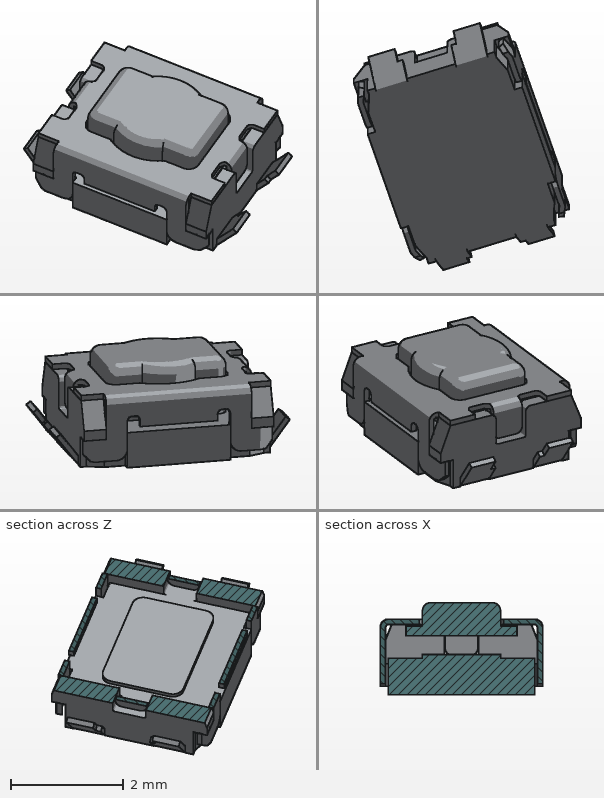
import cadquery as cq
import math

overall_length = 4.31
body_length = 3.5
body_width = 2.9
overall_height = 1.7
cover_top = 1.355
half_length = body_length / 2
half_width = body_width / 2

sheet = 0.1
cover_underside = cover_top - sheet
outer_bend = 0.15
inner_bend = outer_bend - sheet

corner_length = 0.41
corner_inset = 0.203
wall_half_length = half_length - corner_length

wall_bottom = 0.15
flap_bottom = 0.75
flap_half_length = 0.71
slot_half_length = 0.953
relief_top = 0.955
relief_radius = 0.1
leg_corner_radius = 0.2

ear_top = 0.56
ear_bend_start = 1.49
ear_angle = 22.4
ear_chamfer = 0.135

latch_half_width = 0.295
latch_face = 1.645
latch_bottom = 0.705
latch_corner_radius = 0.125
latch_opening_half_width = 0.74
latch_opening_edge = 1.45
opening_corner_radius = 0.1

button_half_length = 1.1
button_half_width = 0.75
button_bulge_radius = 0.895
button_radius = 0.2
button_rim_radius = 0.999 * button_radius
window_half_length = 1.13
window_half_width = 0.775
window_bulge_radius = 0.95

shelf_height = 0.655
pad_height = 0.07
cover_recess = 0.142
chamfer_bottom = 0.745
pocket_depth = 0.26
pocket_flat = 0.11
roof_bottom = 1.05
roof_half_length = 1.49
roof_half_width = 0.99
roof_drop = 0.02
notch_half_width = 0.305
notch_top_radius = 0.105
notch_bottom_radius = 0.04

lead_angle = 53.0
lead_length = 0.63
lead_step_length = 0.358
lead_inner_y = 0.455
lead_step_y = 0.55
lead_outer_y = 1.047
lead_tilt = math.radians(lead_angle)
lead_bend_x = overall_length / 2 - lead_length * math.cos(lead_tilt) - sheet * math.sin(lead_tilt)


def block(x0, x1, y0, y1, z0, z1):
    """Box between the given limits."""
    return cq.Workplane("XY").box(x1 - x0, y1 - y0, z1 - z0, centered=False).translate((x0, y0, z0))


def centred_block(half_x, half_y, z0, z1):
    return block(-half_x, half_x, -half_y, half_y, z0, z1)


def on_both_ends(shape):
    """The +X shape together with its mirror image at -X."""
    return shape.union(shape.mirror("YZ"))


def on_both_sides(shape):
    """The -Y shape together with its mirror image at +Y."""
    return shape.union(shape.mirror("XZ"))


def bulged_prism(half_x, half_y, bulge_radius, corner_radius, z0, z1):
    """Rounded rectangle with a concentric round bulge on its two long sides."""
    bar = centred_block(half_x, half_y, z0, z1).edges("|Z").fillet(corner_radius)
    disc = cq.Workplane("XY", origin=(0, 0, z0)).circle(bulge_radius).extrude(z1 - z0)
    return bar.union(disc)



def base_block():
    """Solid block with its upper long edges sloped at full length."""
    return (
        cq.Workplane("YZ")
        .moveTo(-half_width, 0)
        .lineTo(half_width, 0)
        .lineTo(half_width, chamfer_bottom)
        .lineTo(half_width - corner_inset, cover_underside)
        .lineTo(corner_inset - half_width, cover_underside)
        .lineTo(-half_width, chamfer_bottom)
        .close()
        .extrude(half_length, both=True)
    )


def side_recess():
    """Room for the legs of the -Y cover wall at the ends of the front shelf."""
    recess_y = cover_recess - half_width
    recess = block(-wall_half_length, wall_half_length, -half_width, recess_y, 0, shelf_height)
    shelf = centred_block(slot_half_length, half_width, 0, shelf_height)
    return recess.cut(shelf)


def corner_pocket():
    """Undercut at the +X, -Y corner that clears the bent ear of the cover."""
    return (
        cq.Workplane("XY")
        .moveTo(wall_half_length, -half_width)
        .lineTo(half_length, -half_width)
        .lineTo(half_length, pocket_depth - half_width)
        .lineTo(half_length - pocket_flat, pocket_depth - half_width)
        .lineTo(wall_half_length, cover_recess - half_width)
        .close()
        .extrude(ear_top)
    )


def well():
    """Space between the end walls, open to both sides, with a pad on its floor and a bridging roof."""
    space = centred_block(wall_half_length, half_width, shelf_height, cover_underside)
    pad = centred_block(button_half_length, button_half_width, shelf_height, shelf_height + pad_height)
    roof = centred_block(wall_half_length, roof_half_width, roof_bottom, cover_underside)
    return space.cut(pad.edges("|Z").fillet(button_radius)).cut(roof)


def roof_step():
    """Shallow step down from the top of the end walls to the roof under the cover."""
    return centred_block(roof_half_length, roof_half_width, cover_underside - roof_drop, cover_underside)


def latch_notch():
    """Notch through the +X end wall, with rounded floor corners and flared top edges."""
    depth = half_length - wall_half_length
    flare_half_width = notch_half_width + notch_top_radius
    flare_bottom = cover_underside - notch_top_radius
    slot = block(
        wall_half_length, half_length, -notch_half_width, notch_half_width, shelf_height, cover_underside
    ).edges("|X and <Z").fillet(notch_bottom_radius)
    flare = block(
        wall_half_length, half_length, -flare_half_width, flare_half_width, flare_bottom, cover_underside
    )
    for side in (-1, 1):
        rounding = (
            cq.Workplane("YZ", origin=(wall_half_length, side * flare_half_width, flare_bottom))
            .circle(notch_top_radius)
            .extrude(depth)
        )
        flare = flare.cut(rounding)
    return slot.union(flare)


def lead_strip(length, y0, y1):
    """Strip that bends up sharply out of the bottom of the +X end, around its own inner corner."""
    along_x = math.cos(lead_tilt)
    along_z = math.sin(lead_tilt)
    bend_middle = (
        lead_bend_x + sheet * math.sin(lead_tilt / 2),
        sheet - sheet * math.cos(lead_tilt / 2),
    )
    bend_end = (lead_bend_x + sheet * along_z, sheet - sheet * along_x)
    inner_tip = (lead_bend_x + length * along_x, sheet + length * along_z)
    outer_tip = (bend_end[0] + length * along_x, bend_end[1] + length * along_z)
    return (
        cq.Workplane("XZ", origin=(0, y1, 0))
        .moveTo(lead_bend_x, 0)
        .threePointArc(bend_middle, bend_end)
        .lineTo(*outer_tip)
        .lineTo(*inner_tip)
        .lineTo(lead_bend_x, sheet)
        .close()
        .extrude(y1 - y0)
    )


def lead():
    """Lead at the +X, -Y corner: full length outside, a shorter step towards the middle."""
    long_part = lead_strip(lead_length, -lead_outer_y, -lead_step_y)
    short_part = lead_strip(lead_step_length, -lead_step_y, -lead_inner_y)
    return long_part.union(short_part)


def lead_clearance():
    """Bottom edge of the base removed where the bend of a lead leaves it."""
    return block(lead_bend_x, half_length, -lead_outer_y, -lead_inner_y, 0, sheet)


def button():
    """Button rising from the roof through the cover window, with its whole top rim rounded."""
    height = overall_height - roof_bottom
    bar = centred_block(button_half_length, button_half_width, roof_bottom, overall_height)
    bar = bar.edges("|Z").fillet(button_radius).faces(">Z").edges().fillet(button_rim_radius)
    bulge = cq.Workplane("XY", origin=(0, 0, roof_bottom)).circle(button_bulge_radius).extrude(height)
    bulge = bulge.faces(">Z").edges().fillet(button_rim_radius)
    return bar.union(bulge)


def build_base():
    base = base_block()
    base = base.cut(on_both_sides(side_recess()))
    base = base.cut(on_both_ends(on_both_sides(corner_pocket())))
    base = base.cut(well()).cut(roof_step())
    base = base.cut(on_both_ends(latch_notch()))
    base = base.cut(on_both_ends(on_both_sides(lead_clearance())))
    base = base.union(on_both_ends(on_both_sides(lead())))
    return base.union(button())



def folded_sheet():
    """Top plate with both side walls folded down, between the bare corners."""
    outer = centred_block(wall_half_length, half_width, wall_bottom, cover_top)
    outer = outer.edges("|X and >Z").fillet(outer_bend)
    inner = centred_block(wall_half_length, half_width - sheet, wall_bottom, cover_underside)
    inner = inner.edges("|X and >Z").fillet(inner_bend)
    return outer.cut(inner)


def wall_cutout():
    """Opening through both side walls: a low flap with a rounded relief slot at each end."""
    cutout = centred_block(slot_half_length, half_width, wall_bottom, flap_bottom)
    relief = block(flap_half_length, slot_half_length, -half_width, half_width, wall_bottom, relief_top)
    relief = relief.edges("|Y and >Z").fillet(relief_radius)
    return cutout.union(on_both_ends(relief))


def leg_roundings():
    """Waste at the lower inner corners of the wall legs."""
    centre_x = slot_half_length + leg_corner_radius
    centre_z = wall_bottom + leg_corner_radius
    corner = block(slot_half_length, centre_x, -half_width, half_width, wall_bottom, centre_z)
    rounding = (
        cq.Workplane("XZ", origin=(centre_x, 0, centre_z))
        .circle(leg_corner_radius)
        .extrude(half_width, both=True)
    )
    return on_both_ends(corner.cut(rounding))


def ear():
    """Foot of the +X, -Y leg, bent inwards under the corner of the base."""
    tilt = math.radians(ear_angle)
    pivot_y = sheet - half_width
    bend_end_x = ear_bend_start + sheet * math.sin(tilt)
    bend_end_y = pivot_y - sheet * math.cos(tilt)
    ear_end_y = bend_end_y + (half_length - bend_end_x) * math.tan(tilt)
    bend_middle = (
        ear_bend_start + sheet * math.sin(tilt / 2),
        pivot_y - sheet * math.cos(tilt / 2),
    )
    plan = (
        cq.Workplane("XY", origin=(0, 0, wall_bottom))
        .moveTo(wall_half_length, -half_width)
        .lineTo(ear_bend_start, -half_width)
        .threePointArc(bend_middle, (bend_end_x, bend_end_y))
        .lineTo(half_length, ear_end_y)
        .lineTo(half_length - sheet * math.sin(tilt), ear_end_y + sheet * math.cos(tilt))
        .lineTo(ear_bend_start, pivot_y)
        .lineTo(wall_half_length, pivot_y)
        .close()
        .extrude(ear_top - wall_bottom)
    )
    corner = (
        cq.Workplane("XZ")
        .moveTo(half_length, wall_bottom)
        .lineTo(half_length, wall_bottom + ear_chamfer)
        .lineTo(half_length - ear_chamfer, wall_bottom)
        .close()
        .extrude(half_width)
    )
    return plan.cut(corner)


def latch_opening():
    """Opening at one side of the +X latch, rounded at its inner corners."""
    return block(
        latch_opening_edge, half_length, -latch_opening_half_width, -latch_half_width, 0, cover_top
    ).edges("|Z and <X").fillet(opening_corner_radius)


def latch():
    """Tongue folded down into the notch of the +X end wall."""
    outer = block(latch_opening_edge, latch_face, -latch_half_width, latch_half_width, latch_bottom, cover_top)
    outer = outer.edges("|Y and >X and >Z").fillet(outer_bend)
    outer = outer.edges("|X and <Z").fillet(latch_corner_radius)
    inner_face = latch_face - sheet
    inner = block(
        latch_opening_edge, inner_face, -latch_half_width, latch_half_width, latch_bottom, cover_underside
    )
    inner = inner.edges("|Y and >X and >Z").fillet(inner_bend)
    return outer.cut(inner)


def build_cover():
    plate = centred_block(half_length, half_width - corner_inset, cover_underside, cover_top)
    latch_gap = block(
        latch_face - outer_bend, half_length, -latch_half_width, latch_half_width, cover_underside, cover_top
    )
    window = bulged_prism(
        window_half_length, window_half_width, window_bulge_radius, button_radius, cover_underside, cover_top
    )
    cover = plate.union(folded_sheet())
    cover = cover.cut(wall_cutout()).cut(leg_roundings())
    cover = cover.union(on_both_ends(on_both_sides(ear())))
    cover = cover.cut(window)
    cover = cover.cut(on_both_ends(on_both_sides(latch_opening()))).cut(on_both_ends(latch_gap))
    return cover.union(on_both_ends(latch()))


base = build_base()
cover = build_cover()
result = cq.Compound.makeCompound([base.solids().val(), cover.solids().val()])